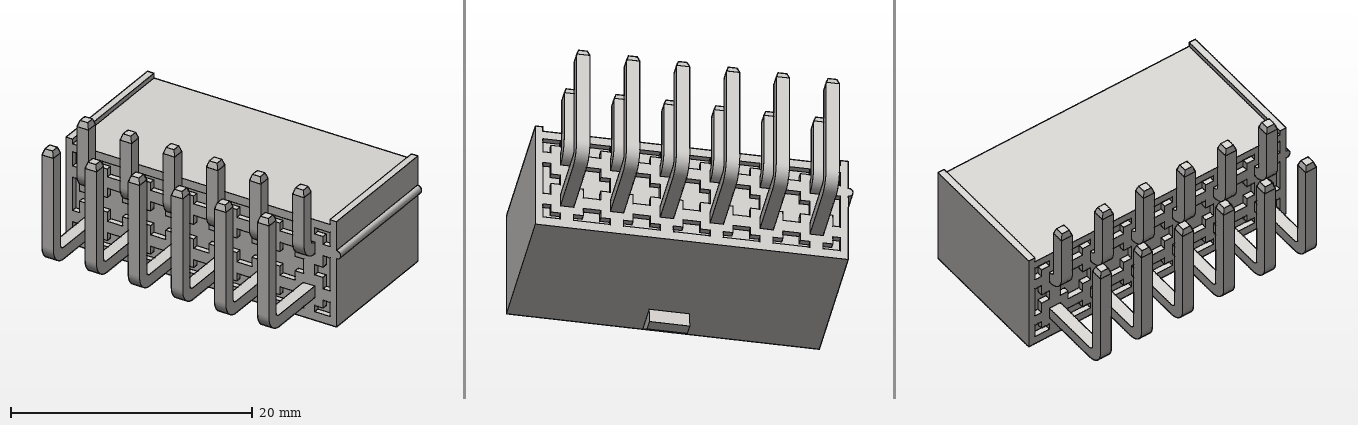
import cadquery as cq


overall_length = 26.8
overall_depth = 19.97

housing_length = 26.4
housing_depth = 12.78
deck_height = 9.65
ear_height = 10.1
ear_width = 0.65
middle_x = housing_length / 2

rib_radius = overall_length - housing_length
rib_height = 6.95
rib_rear_gap = 0.08

latch_width = 3.4
latch_drop = 1.35
latch_ramp = 1.93
latch_root = 2.87
latch_length = 2.97

columns = 6
pitch = 4.2
pin_size = 1.13
pin_top = 13.15
tip_height = 0.55
tip_size = 0.75
bend_outer = 1.6
bend_inner = bend_outer - pin_size
pin_row_gap = 5.5
long_reach = overall_depth - housing_depth
short_reach = long_reach - pin_row_gap
lower_pin_height = 2.73
upper_pin_height = lower_pin_height + pitch
first_pin_x = middle_x - (columns - 1) * pitch / 2

pocket_depth = 0.5
pocket_middle = 4.85
pocket_gap = 1.1
pocket_width = pitch - pocket_gap
stem_width = 1.47
end_slot_width = 0.67
bar_outer = 4.02
bar_inner = 3.43
stem_reach = 2.68
cross_stem_half = 1.58
cross_bar_half = 0.7
end_bar_half = 0.48


def front_block(left, right, low, high):
    """Cutter for a rectangle of the front face."""
    return cq.Workplane("XY").box(
        right - left, pocket_depth, high - low, centered=False
    ).translate((left, 0, low))


def pocket_column(bar_left, bar_right, stem_left, stem_right, middle_bar_half):
    """One column of pockets: a bar with a stem at top and bottom, and a crossed pair between."""
    mid = pocket_middle
    cutter = front_block(bar_left, bar_right, mid - middle_bar_half, mid + middle_bar_half)
    cutter = cutter.union(
        front_block(stem_left, stem_right, mid - cross_stem_half, mid + cross_stem_half)
    )
    for side in (-1, 1):
        bar = sorted((mid + side * bar_inner, mid + side * bar_outer))
        stem = sorted((mid + side * stem_reach, mid + side * bar_outer))
        cutter = cutter.union(front_block(bar_left, bar_right, *bar))
        cutter = cutter.union(front_block(stem_left, stem_right, *stem))
    return cutter


def make_housing():
    body = cq.Workplane("XY").box(housing_length, housing_depth, deck_height, centered=False)
    ear = cq.Workplane("XY").box(ear_width, housing_depth, ear_height, centered=False)
    body = body.union(ear).union(ear.translate((housing_length - ear_width, 0, 0)))

    rib = (
        cq.Workplane("XZ", origin=(housing_length, 0, rib_height))
        .circle(rib_radius)
        .extrude(-(housing_depth - rib_rear_gap))
    )
    latch = (
        cq.Workplane("YZ", origin=(middle_x - latch_width / 2, housing_depth, 0))
        .polyline([(0, 0), (-latch_ramp, -latch_drop), (-latch_length, -latch_drop), (-latch_root, 0)])
        .close()
        .extrude(latch_width)
    )
    return body.union(rib).union(latch)


def cut_pockets(body):
    for gap_index in range(columns - 1):
        x = first_pin_x + (gap_index + 0.5) * pitch
        body = body.cut(
            pocket_column(
                x - pocket_width / 2,
                x + pocket_width / 2,
                x - stem_width / 2,
                x + stem_width / 2,
                cross_bar_half,
            )
        )

    end_left = ear_width
    end_right = first_pin_x - pocket_gap / 2
    end = pocket_column(end_left, end_right, end_left, end_left + end_slot_width, end_bar_half)
    opposite_end = end.mirror("YZ", (middle_x, 0, 0))
    return body.cut(end).cut(opposite_end)


def make_pin(x, reach, height):
    """Square pin leaving the front face, bent upward and tapered at its tip."""
    low = height - pin_size / 2
    high = height + pin_size / 2
    shoulder = pin_top - tip_height
    inner_face = pin_size - reach
    blank = (
        cq.Workplane("YZ", origin=(x - pin_size / 2, 0, 0))
        .moveTo(0, low)
        .lineTo(bend_outer - reach, low)
        .radiusArc((-reach, low + bend_outer), bend_outer)
        .lineTo(-reach, shoulder)
        .lineTo(inner_face, shoulder)
        .lineTo(inner_face, high + bend_inner)
        .radiusArc((inner_face + bend_inner, high), -bend_inner)
        .lineTo(0, high)
        .close()
        .extrude(pin_size)
    )
    tip = (
        cq.Workplane("XY", origin=(x, pin_size / 2 - reach, shoulder))
        .rect(pin_size, pin_size)
        .workplane(offset=tip_height)
        .rect(tip_size, tip_size)
        .loft(ruled=True)
    )
    return blank.union(tip)


result = cut_pockets(make_housing())
for column in range(columns):
    pin_x = first_pin_x + column * pitch
    result = result.union(make_pin(pin_x, short_reach, upper_pin_height))
    result = result.union(make_pin(pin_x, long_reach, lower_pin_height))